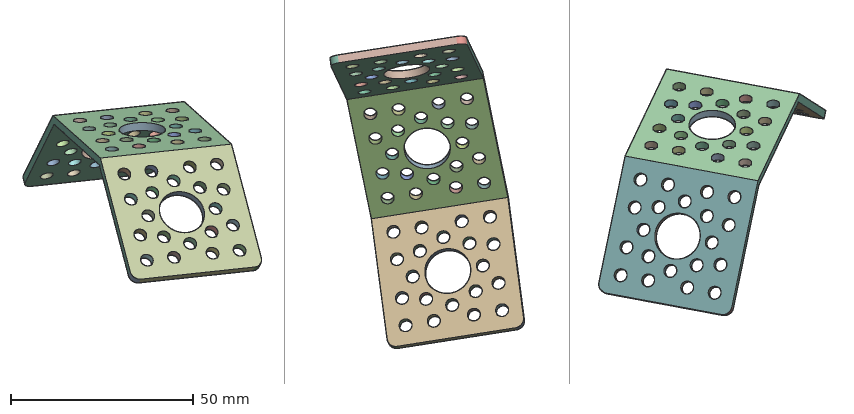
import cadquery as cq
import math

INCH = 25.4

panel_size = 1.5 * INCH
thickness = 0.09 * INCH
bend_angle = 45.0
corner_radius = 0.1 * INCH

center_hole_diameter = 0.5 * INCH
small_hole_diameter = 0.14 * INCH
circle_radius = 0.385 * INCH
circle_count = 8
outer_offset = 0.53 * INCH
inner_offset = 0.22 * INCH

miter = thickness * math.tan(math.radians(bend_angle / 2))
bend_x = panel_size / 2 + miter
leg_cos = math.cos(math.radians(bend_angle))
leg_sin = math.sin(math.radians(bend_angle))


def leg_plane(side, distance):
    """Plane on a leg's outer face, centred `distance` down from the bend; side is -1 or +1."""
    origin = (side * (bend_x + distance * leg_cos), 0, -distance * leg_sin)
    return cq.Plane(
        origin=origin,
        xDir=(leg_cos, 0, -side * leg_sin),
        normal=(side * leg_sin, 0, leg_cos),
    )


def bent_sheet():
    """Constant-thickness profile with its outer top face at Z = 0, extruded across Y."""
    tip_x = bend_x + panel_size * leg_cos
    tip_z = -panel_size * leg_sin
    inner_tip_x = tip_x - thickness * leg_sin
    inner_tip_z = tip_z - thickness * leg_cos
    outline = [
        (-tip_x, tip_z),
        (-bend_x, 0),
        (bend_x, 0),
        (tip_x, tip_z),
        (inner_tip_x, inner_tip_z),
        (panel_size / 2, -thickness),
        (-panel_size / 2, -thickness),
        (-inner_tip_x, inner_tip_z),
    ]
    return cq.Workplane("XZ").polyline(outline).close().extrude(panel_size / 2, both=True)


def round_leg_end(body, side):
    """Round the two free corners of one leg, across the sheet thickness."""
    end_plane = leg_plane(side, panel_size)
    end = end_plane.origin
    reach = 2 * thickness
    around_end = cq.selectors.BoxSelector(
        (end.x - reach, -panel_size, end.z - reach),
        (end.x + reach, panel_size, end.z + reach),
    )
    across_sheet = cq.selectors.ParallelDirSelector(end_plane.zDir)
    return body.edges(around_end & across_sheet).fillet(corner_radius)


def small_hole_points():
    """Ring of holes plus the grid holes that run along the panel edges."""
    points = []
    for index in range(circle_count):
        angle = 2 * math.pi * index / circle_count
        points.append((circle_radius * math.cos(angle), circle_radius * math.sin(angle)))
    for x_sign in (-1, 1):
        for y_sign in (-1, 1):
            points.append((x_sign * outer_offset, y_sign * outer_offset))
            points.append((x_sign * outer_offset, y_sign * inner_offset))
            points.append((x_sign * inner_offset, y_sign * outer_offset))
    return points


def panel_holes(plane):
    """Cutters for one panel, square to the sheet and passing through it."""
    overshoot = thickness / 2
    depth = thickness + 2 * overshoot
    face = cq.Workplane(plane).workplane(offset=-thickness - overshoot)
    center_hole = face.circle(center_hole_diameter / 2).extrude(depth)
    small_holes = face.pushPoints(small_hole_points()).circle(small_hole_diameter / 2).extrude(depth)
    return center_hole.union(small_holes)


result = bent_sheet()
for leg_side in (-1, 1):
    result = round_leg_end(result, leg_side)
    result = result.cut(panel_holes(leg_plane(leg_side, panel_size / 2)))
result = result.cut(panel_holes(cq.Plane.XY()))